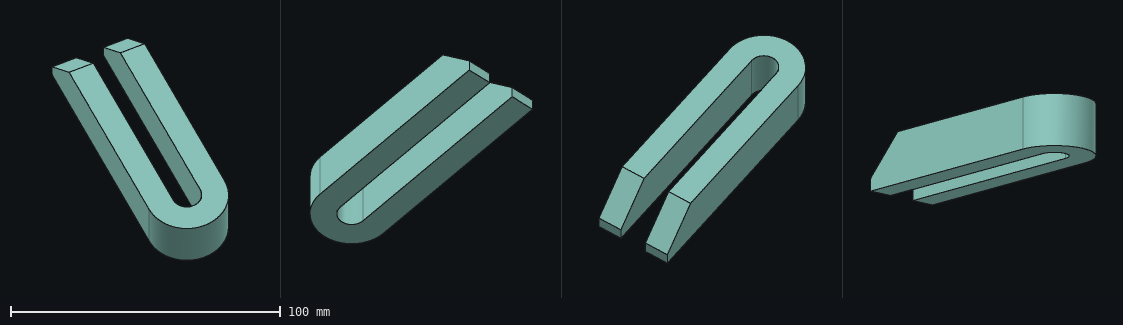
import cadquery as cq

length = 100.0
height = 20.0
leg_width = 10.0
slot_width = 11.0
nose_height = 5.0
bevel_length = 15.0

width = 2 * leg_width + slot_width
outer_radius = width / 2
slot_radius = slot_width / 2
arc_center_x = length - outer_radius

body = (
    cq.Workplane("XY")
    .moveTo(0, -outer_radius)
    .lineTo(arc_center_x, -outer_radius)
    .threePointArc((length, 0), (arc_center_x, outer_radius))
    .lineTo(0, outer_radius)
    .lineTo(0, slot_radius)
    .lineTo(arc_center_x, slot_radius)
    .threePointArc((arc_center_x + slot_radius, 0), (arc_center_x, -slot_radius))
    .lineTo(0, -slot_radius)
    .close()
    .extrude(height)
)

bevel = (
    cq.Workplane("XZ")
    .moveTo(0, nose_height)
    .lineTo(bevel_length, height)
    .lineTo(0, height)
    .close()
    .extrude(outer_radius, both=True)
)

result = body.cut(bevel)